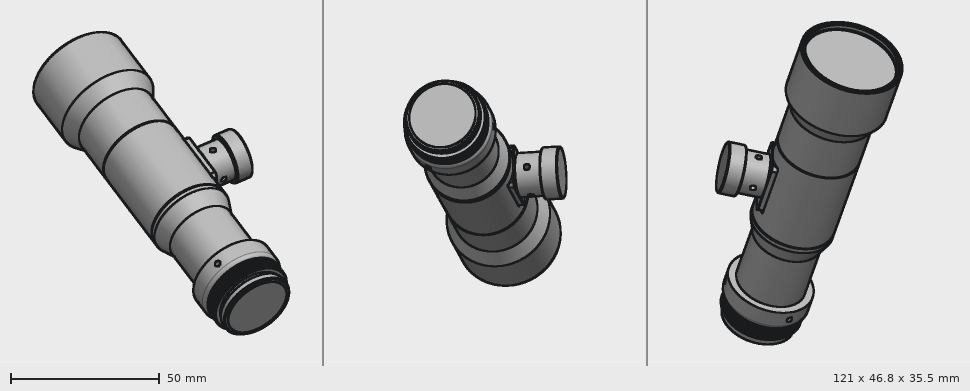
import cadquery as cq


total_length = 121.0
bell_end = 19.8
bell_taper_end = 25.6
objective_end = 42.1
main_tube_end = 74.6
eyepiece_taper_start = 76.6
eyepiece_taper_end = 82.9
collar_start = 103.5

bell_diameter = 35.5
bell_radius = bell_diameter / 2
tube_radius = 14.5
eyepiece_radius = 12.1
joint_chamfer = 0.18

rim_chamfer = 0.4
rim_inner_radius = 16.9
step_radius = 16.6
step_depth = 0.4
bore_radius = 16.2
bore_depth = 2.0
glass_radius = 16.0
glass_depth = 2.4

knob_x = 58.5
seat_y = 12.5
pad_length = 20.1

collar_radius = 15.0
shoulder_start = 109.7
shoulder_end = 111.5
thread_radius = 14.0
thread_root_radius = 13.4
thread_chamfer = 0.4
first_ridge_end = 112.6
later_ridges = [(113.4, 114.5), (115.2, 116.6)]
end_ring_start = 118.2
end_ring_radius = 12.7
end_ring_end = 120.6
end_ring_chamfer = 0.4
end_lip_radius = 11.4
collar_hole_count = 3
collar_hole_x = 107.1
collar_hole_diameter = 2.0

pad_width = 15.0
pad_corner = 1.3
pad_top_y = tube_radius
pad_top_chamfer = 0.18
stem_radius = 7.5
head_radius = 8.8
head_start_y = 23.0
overall_width = 46.8
head_end_y = overall_width - bell_radius
head_chamfer = 0.4
cross_hole_y = 18.5
cross_hole_diameter = 2.0


def turned(outline):
    """Revolve a closed outline of (x, radius) points about the optical axis."""
    return outline.close().revolve(360, (0, 0, 0), (1, 0, 0))


def make_objective():
    outline = (
        cq.Workplane("XZ")
        .moveTo(glass_depth, 0)
        .lineTo(glass_depth, glass_radius)
        .lineTo(bore_depth, glass_radius)
        .lineTo(bore_depth, bore_radius)
        .lineTo(step_depth, bore_radius)
        .lineTo(step_depth, step_radius)
        .lineTo(0, rim_inner_radius)
        .lineTo(0, bell_radius - rim_chamfer)
        .lineTo(rim_chamfer, bell_radius)
        .lineTo(bell_end, bell_radius)
        .lineTo(bell_taper_end, tube_radius)
        .lineTo(objective_end - joint_chamfer, tube_radius)
        .lineTo(objective_end, tube_radius - joint_chamfer)
        .lineTo(objective_end, 0)
    )
    return turned(outline)


def make_main_tube():
    outline = (
        cq.Workplane("XZ")
        .moveTo(objective_end, 0)
        .lineTo(objective_end, tube_radius - joint_chamfer)
        .lineTo(objective_end + joint_chamfer, tube_radius)
        .lineTo(main_tube_end - joint_chamfer, tube_radius)
        .lineTo(main_tube_end, tube_radius - joint_chamfer)
        .lineTo(main_tube_end, 0)
    )
    tube = turned(outline)
    seat_depth = tube_radius - seat_y
    seat_cut = cq.Workplane("XY").box(pad_length, seat_depth, 2 * tube_radius)
    return tube.cut(seat_cut.translate((knob_x, seat_y + seat_depth / 2, 0)))


def make_eyepiece():
    outline = (
        cq.Workplane("XZ")
        .moveTo(main_tube_end, 0)
        .lineTo(main_tube_end, tube_radius - joint_chamfer)
        .lineTo(main_tube_end + joint_chamfer, tube_radius)
        .lineTo(eyepiece_taper_start, tube_radius)
        .lineTo(eyepiece_taper_end, eyepiece_radius)
        .lineTo(collar_start, eyepiece_radius)
        .lineTo(collar_start, 0)
    )
    return turned(outline)


def make_collar():
    shoulder_length = shoulder_end - shoulder_start
    outline = (
        cq.Workplane("XZ")
        .moveTo(collar_start, 0)
        .lineTo(collar_start, collar_radius)
        .lineTo(shoulder_start, collar_radius)
        .tangentArcPoint((shoulder_length, thread_radius - collar_radius))
        .lineTo(first_ridge_end - thread_chamfer, thread_radius)
        .lineTo(first_ridge_end, thread_radius - thread_chamfer)
        .lineTo(first_ridge_end, thread_root_radius)
    )
    for ridge_start, ridge_end in later_ridges:
        outline = (
            outline.lineTo(ridge_start, thread_root_radius)
            .lineTo(ridge_start, thread_radius - thread_chamfer)
            .lineTo(ridge_start + thread_chamfer, thread_radius)
            .lineTo(ridge_end - thread_chamfer, thread_radius)
            .lineTo(ridge_end, thread_radius - thread_chamfer)
            .lineTo(ridge_end, thread_root_radius)
        )
    last_ridge_end = later_ridges[-1][1]
    outline = (
        outline.lineTo(last_ridge_end, eyepiece_radius)
        .lineTo(end_ring_start, eyepiece_radius)
        .lineTo(end_ring_start, end_ring_radius)
        .lineTo(end_ring_end - end_ring_chamfer, end_ring_radius)
        .lineTo(end_ring_end, end_ring_radius - end_ring_chamfer)
        .lineTo(end_ring_end, end_lip_radius)
        .lineTo(total_length, end_lip_radius)
        .lineTo(total_length, 0)
    )
    collar = turned(outline)

    hole = (
        cq.Workplane("XZ", origin=(collar_hole_x, collar_radius, 0))
        .circle(collar_hole_diameter / 2)
        .extrude(collar_radius - eyepiece_radius)
    )
    for index in range(collar_hole_count):
        angle = 360 * index / collar_hole_count
        collar = collar.cut(hole.rotate((0, 0, 0), (1, 0, 0), angle))
    return collar


def make_knob():
    def post(radius, start_y, end_y):
        plane = cq.Workplane("XZ", origin=(knob_x, start_y, 0))
        return plane.circle(radius).extrude(start_y - end_y)

    pad_height = pad_top_y - seat_y
    pad = (
        cq.Workplane("XZ", origin=(knob_x, seat_y, 0))
        .rect(pad_length, pad_width)
        .extrude(-pad_height)
        .edges("|Y")
        .chamfer(pad_corner)
        .faces(">Y")
        .chamfer(pad_top_chamfer)
    )
    stem = post(stem_radius, pad_top_y, head_start_y)
    head = post(head_radius, head_start_y, head_end_y).faces("<Y or >Y").chamfer(head_chamfer)
    knob = pad.union(stem).union(head)

    cross_hole_reach = 2 * stem_radius
    for plane_name in ("YZ", "XY"):
        cross_hole = (
            cq.Workplane(plane_name, origin=(knob_x, cross_hole_y, 0))
            .circle(cross_hole_diameter / 2)
            .extrude(cross_hole_reach, both=True)
        )
        knob = knob.cut(cross_hole)
    return knob


objective = make_objective()
main_tube = make_main_tube()
eyepiece = make_eyepiece()
collar = make_collar()
knob = make_knob()

result = cq.Compound.makeCompound(
    [objective.val(), main_tube.val(), eyepiece.val(), collar.val(), knob.val()]
)